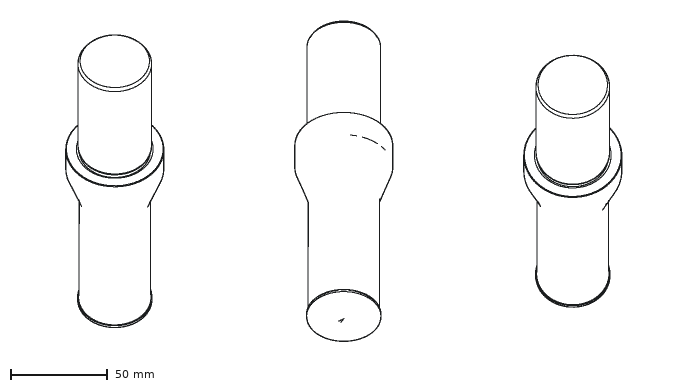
import cadquery as cq

total_height = 191.0
lip_bottom_z = 1.5
lip_top_z = 3.0
flare_top_z = 7.0
cone_bottom_z = 83.5
collar_bottom_z = 105.2
collar_top_z = 121.1
shoulder_z = 122.5

collar_radius = 25.4
shank_radius = 18.5
flare_radius = 18.7
pin_radius = 19.1
lip_radius = 19.3
neck_radius = 18.5

top_chamfer_width = 1.1
top_chamfer_height = 2.0
collar_chamfer = 0.4
shoulder_chamfer_width = 0.4
shoulder_chamfer_height = 1.1
recess_radius = 19.9
recess_depth = 1.0
cone_blend_radius = 3.8

seat_z = collar_top_z - recess_depth


def make_collared_shank():
    """Lower shank with a domed, lipped end, a cone and a collar."""
    dome_mid_radius = lip_radius / 2
    dome_mid_z = lip_bottom_z / 4
    shank = (
        cq.Workplane("XZ")
        .moveTo(0, 0)
        .threePointArc((dome_mid_radius, dome_mid_z), (lip_radius, lip_bottom_z))
        .lineTo(lip_radius, lip_top_z)
        .lineTo(flare_radius, lip_top_z)
        .lineTo(shank_radius, flare_top_z)
        .lineTo(shank_radius, cone_bottom_z)
        .lineTo(collar_radius, collar_bottom_z)
        .lineTo(collar_radius, collar_top_z - collar_chamfer)
        .lineTo(collar_radius - collar_chamfer, collar_top_z)
        .lineTo(recess_radius, collar_top_z)
        .lineTo(neck_radius, seat_z)
        .lineTo(0, seat_z)
        .close()
        .revolve(360, (0, 0, 0), (0, 1, 0))
    )
    edge_band = 0.2
    blend_edge = cq.selectors.BoxSelector(
        (-collar_radius, -collar_radius, cone_bottom_z - edge_band),
        (collar_radius, collar_radius, cone_bottom_z + edge_band),
        boundingbox=True,
    )
    return shank.edges(blend_edge).fillet(cone_blend_radius)


def make_upper_pin():
    """Chamfered pin whose narrower neck stands on the seat in the collar."""
    return (
        cq.Workplane("XZ")
        .moveTo(0, seat_z)
        .lineTo(neck_radius, seat_z)
        .lineTo(neck_radius, shoulder_z)
        .lineTo(pin_radius - shoulder_chamfer_width, shoulder_z)
        .lineTo(pin_radius, shoulder_z + shoulder_chamfer_height)
        .lineTo(pin_radius, total_height - top_chamfer_height)
        .lineTo(pin_radius - top_chamfer_width, total_height)
        .lineTo(0, total_height)
        .close()
        .revolve(360, (0, 0, 0), (0, 1, 0))
    )


collared_shank = make_collared_shank()
upper_pin = make_upper_pin()

result = cq.Compound.makeCompound([collared_shank.val(), upper_pin.val()])